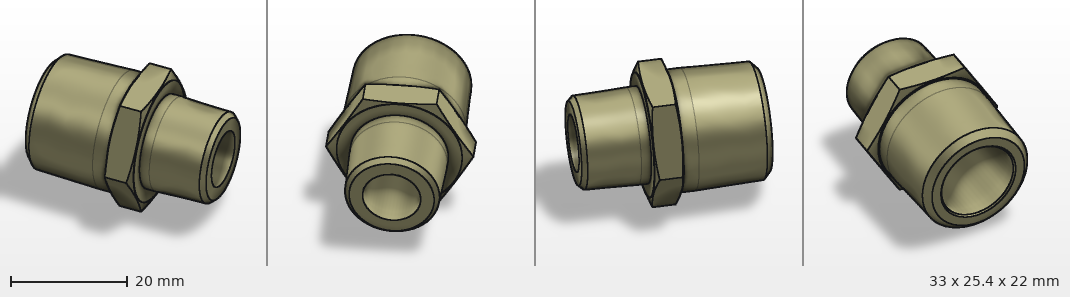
import cadquery as cq
import math


total_length = 33.0
thread_taper = 1 / 16

hex_across_flats = 22.0
hex_start = 15.85
hex_width = 5.2
hex_end = hex_start + hex_width
hex_land_thickness = 0.1
hex_face_diameter = 21.65
hex_chamfer_angle = 15.0

large_diameter = 21.25
large_straight_start = 13.2
large_chamfer_length = 1.2
large_mouth_diameter = 18.02

small_diameter = 16.9
small_straight_end = 22.85
small_chamfer_length = 0.9
small_mouth_diameter = 14.65

large_bore_diameter = 14.0
small_bore_diameter = 10.0
bore_mouth_chamfer = 0.3
bore_cone_start = hex_start
bore_cone_half_angle = 22.0


def revolve_about_x(profile):
    """Solid of revolution from (x, radius) points, closed along the X axis."""
    first_x = profile[0][0]
    last_x = profile[-1][0]
    outline = [(first_x, 0)] + profile + [(last_x, 0)]
    return cq.Workplane("XY").polyline(outline).close().revolve(360, (0, 0, 0), (1, 0, 0))


def make_threaded_ends():
    """Chamfered, tapered outside of both male ends as one turned body."""
    large_taper_start = large_chamfer_length
    large_taper_length = large_straight_start - large_taper_start
    large_tip_diameter = large_diameter - large_taper_length * thread_taper

    small_taper_end = total_length - small_chamfer_length
    small_taper_length = small_taper_end - small_straight_end
    small_tip_diameter = small_diameter - small_taper_length * thread_taper

    return revolve_about_x([
        (0, large_mouth_diameter / 2),
        (large_taper_start, large_tip_diameter / 2),
        (large_straight_start, large_diameter / 2),
        (hex_start, large_diameter / 2),
        (hex_start, small_diameter / 2),
        (small_straight_end, small_diameter / 2),
        (small_taper_end, small_tip_diameter / 2),
        (total_length, small_mouth_diameter / 2),
    ])


def make_hexagon():
    """Hexagon with flats facing +Z and -Z, cone-chamfered ends and a thin round land at each end."""
    corner_radius = hex_across_flats / math.sqrt(3)
    face_radius = hex_face_diameter / 2
    chamfer_length = (corner_radius - face_radius) * math.tan(math.radians(hex_chamfer_angle))
    chamfer_start = hex_start + hex_land_thickness
    chamfer_end = hex_end - hex_land_thickness

    prism = (
        cq.Workplane("YZ", origin=(hex_start, 0, 0))
        .polygon(6, 2 * corner_radius)
        .extrude(hex_width)
    )
    chamfer_envelope = revolve_about_x([
        (hex_start, face_radius),
        (chamfer_start, face_radius),
        (chamfer_start + chamfer_length, corner_radius),
        (chamfer_end - chamfer_length, corner_radius),
        (chamfer_end, face_radius),
        (hex_end, face_radius),
    ])
    return prism.intersect(chamfer_envelope)


def make_bore():
    """Wide bore from the large end, narrowing through a cone to the small bore."""
    large_radius = large_bore_diameter / 2
    small_radius = small_bore_diameter / 2
    cone_length = (large_radius - small_radius) / math.tan(math.radians(bore_cone_half_angle))

    return revolve_about_x([
        (0, large_radius + bore_mouth_chamfer),
        (bore_mouth_chamfer, large_radius),
        (bore_cone_start, large_radius),
        (bore_cone_start + cone_length, small_radius),
        (total_length, small_radius),
    ])


result = make_threaded_ends().union(make_hexagon()).cut(make_bore())